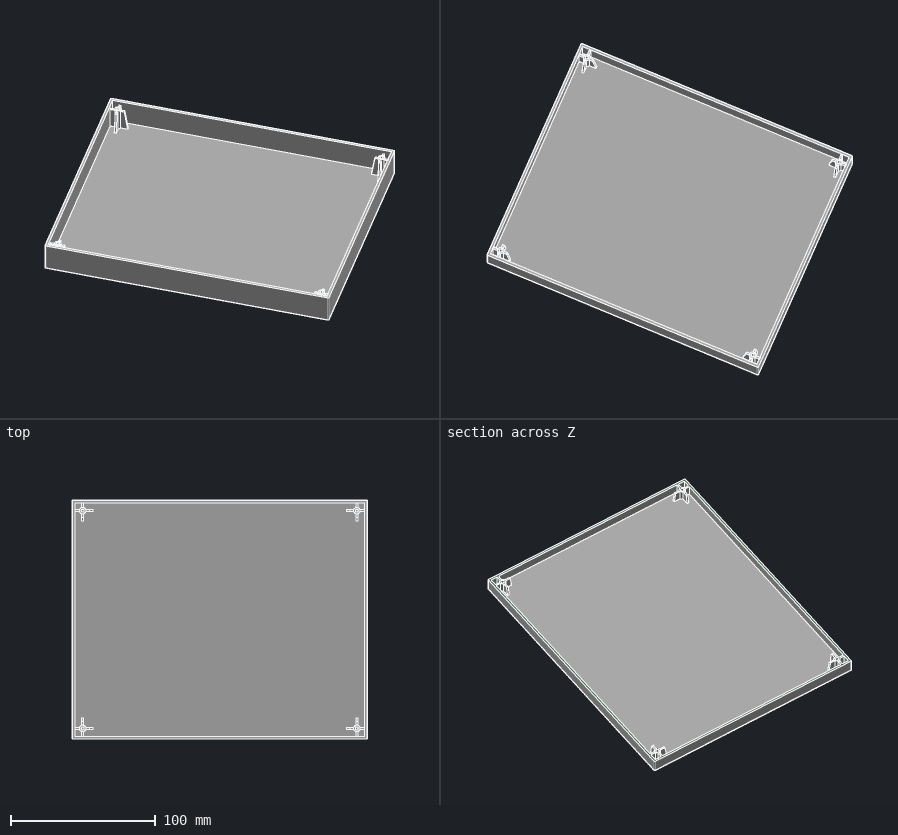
import cadquery as cq

length = 204.3
width = 165.2
height = 20.0
wall = 1.88
floor = 1.8
corner_radius = 0.8

post_inset = 7.4
post_diameter = 4.5
hole_diameter = 2.0
post_top = 18.0

rib_thickness = 1.5
rib_top = 16.7
rib_reach_top = 4.7
rib_reach_base = 7.1
rib_reach_wall = post_inset - wall / 2

root_height = floor / 2


def make_tray():
    """Open tray with rounded outer corners and a sharp-cornered inside."""
    block = cq.Workplane("XY").box(length, width, height, centered=(True, True, False))
    block = block.edges("|Z").fillet(corner_radius)
    cavity = (
        cq.Workplane("XY")
        .workplane(offset=floor)
        .rect(length - 2 * wall, width - 2 * wall)
        .extrude(height - floor)
    )
    return block.cut(cavity)


def make_rib(plane, inward):
    """Upright rib through the post axis; its end away from the wall slopes."""
    outline = [
        (-inward * rib_reach_wall, root_height),
        (inward * rib_reach_base, root_height),
        (inward * rib_reach_base, floor),
        (inward * rib_reach_top, rib_top),
        (-inward * rib_reach_wall, rib_top),
    ]
    return cq.Workplane(plane).polyline(outline).close().extrude(rib_thickness / 2, both=True)


def make_cylinder(diameter, bottom, top):
    """Upright cylinder on the Z axis between two heights."""
    return cq.Workplane("XY").workplane(offset=bottom).circle(diameter / 2).extrude(top - bottom)


def make_post(inward_x, inward_y):
    """Post on the Z axis with its two ribs and a screw hole down to the floor."""
    post = make_cylinder(post_diameter, root_height, post_top)
    post = post.union(make_rib("XZ", inward_x))
    post = post.union(make_rib("YZ", inward_y))
    return post.cut(make_cylinder(hole_diameter, floor, post_top))


result = make_tray()
for side_x in (-1, 1):
    for side_y in (-1, 1):
        post_x = side_x * (length / 2 - post_inset)
        post_y = side_y * (width / 2 - post_inset)
        post = make_post(-side_x, -side_y)
        result = result.union(post.translate((post_x, post_y, 0)))